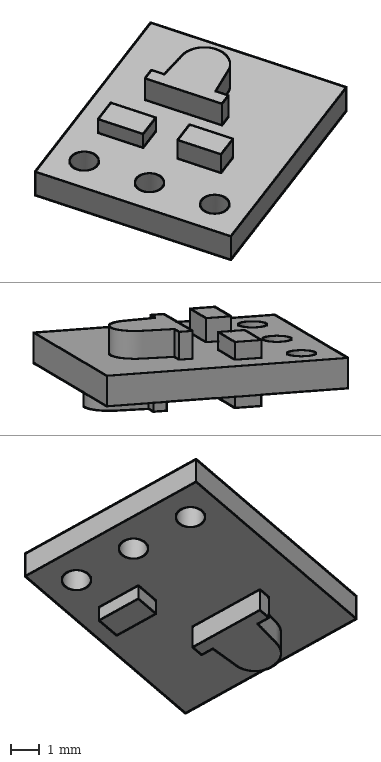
import cadquery as cq

board_width = 7.62
board_length = 8.89
board_thickness = 1.085
board_top = board_thickness / 2
board_bottom = -board_thickness / 2

hole_diameter = 1.01
hole_count = 3
hole_pitch = board_width / hole_count
hole_row_y = -board_length / 2 + hole_pitch / 2

led_height = 0.99
led_length = 2.5
flange_width = 3.0
flange_depth = 0.5
lens_base_width = 2.0
lens_nose_width = 1.8
lens_nose_length = 0.83
led_offset_x = 0.63
upper_led_y = 0.685
lower_led_y = upper_led_y + flange_depth

low_chip_width = 1.75
low_chip_depth = 0.98
low_chip_height = 0.63
low_chip_x = -1.91

tall_chip_width = 1.69
tall_chip_depth = 0.925
tall_chip_height = 0.85
tall_chip_x = 1.14

chip_row_y = -1.13


def block(width, depth, height, x, y, z):
    """Block centred on x, y that rises from z."""
    return cq.Workplane("XY", origin=(x, y, z)).box(width, depth, height, centered=(True, True, False))


def led(x, y, z):
    """LED that rises from z, with the flat face of its flange at y and its lens toward +Y."""
    flange = block(flange_width, flange_depth, led_height, x, y + flange_depth / 2, z)
    nose_start = led_length - lens_nose_length
    lens = (
        cq.Workplane("XY", origin=(x, y, z))
        .moveTo(-lens_base_width / 2, flange_depth)
        .lineTo(-lens_nose_width / 2, nose_start)
        .threePointArc((0, led_length), (lens_nose_width / 2, nose_start))
        .lineTo(lens_base_width / 2, flange_depth)
        .close()
        .extrude(led_height)
    )
    return flange.union(lens)


def low_chip(z):
    """Low chip that rises from z."""
    return block(low_chip_width, low_chip_depth, low_chip_height, low_chip_x, chip_row_y, z)


board = (
    cq.Workplane("XY")
    .box(board_width, board_length, board_thickness)
    .pushPoints([((i - (hole_count - 1) / 2) * hole_pitch, hole_row_y) for i in range(hole_count)])
    .circle(hole_diameter / 2)
    .cutThruAll()
)
tall_chip = block(
    tall_chip_width, tall_chip_depth, tall_chip_height, tall_chip_x, chip_row_y, board_top
)

result = (
    board
    .union(led(-led_offset_x, upper_led_y, board_top))
    .union(led(led_offset_x, lower_led_y, board_bottom - led_height))
    .union(low_chip(board_top))
    .union(low_chip(board_bottom - low_chip_height))
    .union(tall_chip)
)